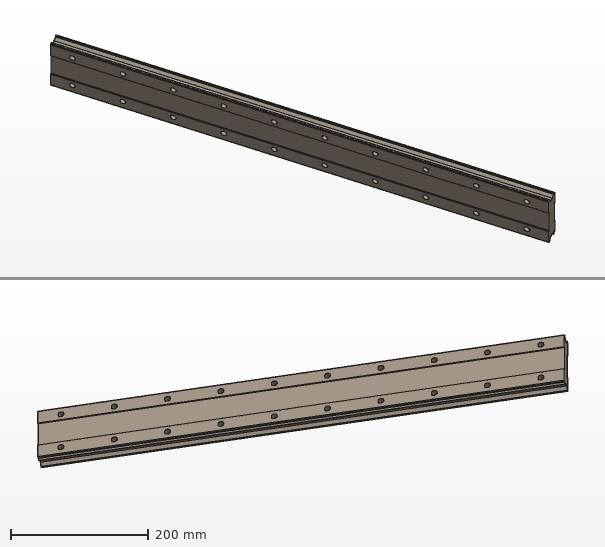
import cadquery as cq
import math

length = 790.0
thickness = 24.0
height = 90.0

recess_depth = 2.0
recess_height = 40.0

front_land_width = 4.1
groove_depth = 5.5
front_flank_angle = 60.0
groove_floor_width = 5.8
back_slope_angle = 26.0
back_slope_width = 5.5

lip_crest_width = 1.0
lip_slope_width = 1.2
shoulder_drop = 2.8

corner_bevel = 1.2

hole_diameter = 9.0
hole_count = 10
hole_end_margin = 35.0
hole_pitch = (length - 2 * hole_end_margin) / (hole_count - 1)
hole_row_spacing = 60.0


def top_edge_outline():
    """Points (y, z) along the top edge, from the front face to the back face."""
    top = height / 2
    front = -thickness / 2
    back = thickness / 2
    shoulder = top - shoulder_drop

    groove_floor = top - groove_depth
    flank_start = front + front_land_width
    floor_start = flank_start + groove_depth / math.tan(math.radians(front_flank_angle))
    floor_end = floor_start + groove_floor_width
    lip_front = floor_end + back_slope_width
    slope_top = groove_floor + back_slope_width * math.tan(math.radians(back_slope_angle))
    crest_end = lip_front + lip_crest_width

    return [
        (front, top - corner_bevel),
        (front + corner_bevel, top),
        (flank_start, top),
        (floor_start, groove_floor),
        (floor_end, groove_floor),
        (lip_front, slope_top),
        (lip_front, top),
        (crest_end, top),
        (crest_end + lip_slope_width, shoulder),
        (back - corner_bevel, shoulder),
        (back, shoulder - corner_bevel),
    ]


def rail_body():
    """Cross-section, symmetric about z = 0, extruded along X."""
    upper = top_edge_outline()
    lower = [(y, -z) for y, z in reversed(upper)]
    profile = cq.Workplane("YZ").polyline(upper + lower).close()
    return profile.extrude(length / 2, both=True)


def face_recesses():
    """Full-length strips to remove from the front and back faces."""
    strip = cq.Workplane("XY").box(length, 2 * recess_depth, recess_height)
    front = strip.translate((0, -thickness / 2, 0))
    back = strip.translate((0, thickness / 2, 0))
    return front.union(back)


def mounting_holes():
    """Two rows of cylinders running right through the thickness."""
    return (
        cq.Workplane("XZ")
        .rarray(hole_pitch, hole_row_spacing, hole_count, 2)
        .circle(hole_diameter / 2)
        .extrude(thickness, both=True)
    )


result = rail_body().cut(face_recesses()).cut(mounting_holes())